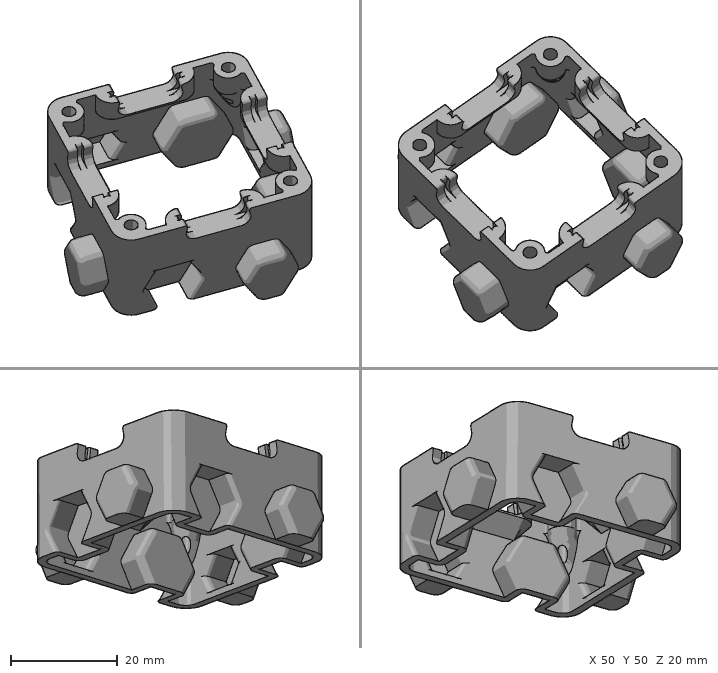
import cadquery as cq
import math

BODY = 40.0
HEIGHT = 20.0
CORNER_R = 4.0
WALL = 1.7
HALF = BODY / 2
INNER = HALF - WALL

HEX_X = 9.0
HEX_Z = 5.05
PLUG_APOTHEM = 5.0
PLUG_REACH = 5.0
EDGE_R = 1.5
HEX_WALL = 1.2
FIT_GAP = 0.3
SOCKET_APOTHEM = PLUG_APOTHEM + FIT_GAP
SOCKET_DEPTH = PLUG_REACH + FIT_GAP
SOCKET_MOUTH_R = 0.9
CAVITY_MOUTH_R = 1.3

RIB_DEPTH = 5.0
RIB_R = RIB_DEPTH - WALL
RIB_FLAT_HALF = 6.5
SHELF_Z = 15.6
NOTCH_DEPTH = 4.0
NOTCH_FLOOR_HALF = 4.5
NOTCH_ROUND_R = 2.0
NOTCH_LIP_HALF = 6.1
LIP_R = 0.5
GROOVE_WIDTH = 1.2
GROOVE_FLOOR_HALF = 6.5
GROOVE_ROUND_R = 1.0
GROOVE_LIP_HALF = 6.9
GROOVE_INSET = 1.95

POST_AT = HALF - CORNER_R
POST_R = 2.8
POST_BLEND_R = 0.5
HOLE_TOP_D = 2.6
HOLE_D = 1.8
SUPPORT_ANGLE = math.radians(58)


def on_four_sides(shape):
    """Repeat a shape made for the -Y side on all four sides."""
    ring = shape
    for turn in range(1, 4):
        ring = ring.union(shape.rotate((0, 0, 0), (0, 0, 1), 90 * turn))
    return ring


def rounded_block(half, radius):
    """Full-height square block with rounded upright edges."""
    return (
        cq.Workplane("XY")
        .rect(2 * half, 2 * half)
        .extrude(HEIGHT)
        .edges("|Z")
        .fillet(radius)
    )


def hex_prism(x, y, apothem, outward):
    """Hexagonal prism from depth y; a negative length goes into the box."""
    across_corners = 2 * apothem / math.cos(math.pi / 6)
    return (
        cq.Workplane("XZ", origin=(x, y, HEX_Z))
        .polygon(6, across_corners)
        .extrude(outward)
    )


def box_between(low, high):
    size = [b - a for a, b in zip(low, high)]
    return cq.Workplane("XY").box(*size, centered=False).translate(low)


def mouth_rounding(x, y, opening, radius, outward, z_low, z_high):
    """Cutter that rounds the edges of an opening, limited to heights z_low..z_high.

    outward is 1 for an opening that runs towards -Y and -1 for one towards +Y.
    """
    span = BODY / 2
    slab_depth = WALL * outward
    slab = cq.Workplane("XZ", origin=(x, y, HEX_Z)).rect(span, span).extrude(slab_depth)
    rim = slab.cut(opening)
    mouth_face = rim.faces(">Y" if outward > 0 else "<Y").val()
    rim = rim.newObject(mouth_face.innerWires()[0].Edges()).fillet(radius)
    band = box_between((x - span, -BODY, z_low), (x + span, 0, z_high))
    return slab.cut(rim).intersect(band)


def plug():
    """Outside plug; its flat bottom edges stay sharp."""
    body = hex_prism(HEX_X, -INNER, PLUG_APOTHEM, WALL + PLUG_REACH)
    return body.edges("not(<Z or >Y)").fillet(EDGE_R)


def plug_cavity():
    """Hollow of the plug, open to the inside of the box."""
    apothem = PLUG_APOTHEM - HEX_WALL
    cavity = hex_prism(HEX_X, -INNER, apothem, WALL + PLUG_REACH - HEX_WALL)
    rounding = mouth_rounding(HEX_X, -INNER, cavity, CAVITY_MOUTH_R, 1, HEX_Z - apothem, HEX_Z + apothem)
    return cavity.union(rounding)


def socket_shell():
    """Rounded hexagonal housing of the socket, inside the box."""
    mid_wall = -HALF + WALL / 2
    length = SOCKET_DEPTH + WALL / 2
    body = hex_prism(-HEX_X, mid_wall, SOCKET_APOTHEM + HEX_WALL, -length)
    body = body.edges("not <Y").fillet(EDGE_R)
    above_base = box_between((-BODY, -BODY, 0), (BODY, 0, HEIGHT))
    return body.intersect(above_base)


def socket_cavity():
    """Socket opening; only its two upper corners stay sharp."""
    cavity = hex_prism(-HEX_X, -HALF, SOCKET_APOTHEM, -SOCKET_DEPTH)
    top = HEX_Z + SOCKET_APOTHEM
    lower_half = cq.selectors.BoxSelector((-BODY, -BODY, -BODY), (BODY, BODY, HEX_Z + EDGE_R))
    cavity = cavity.edges("|Y").edges(lower_half).fillet(EDGE_R)
    return cavity.union(mouth_rounding(-HEX_X, -HALF, cavity, SOCKET_MOUTH_R, -1, -HEX_Z, top))


def rib():
    """Thickened wall for the notch, with a 45 degree support underneath."""
    top = (
        cq.Workplane("XY", origin=(0, -INNER, SHELF_Z))
        .slot2D(2 * (RIB_FLAT_HALF + RIB_R), 2 * RIB_R)
        .extrude(HEIGHT - SHELF_Z)
    )
    wedge = (
        cq.Workplane("YZ", origin=(-RIB_FLAT_HALF, -INNER, SHELF_Z))
        .polyline([(-RIB_R, 0), (RIB_R, 0), (0, -RIB_R)])
        .close()
        .extrude(2 * RIB_FLAT_HALF)
    )
    body = top.union(wedge)
    for x in (-RIB_FLAT_HALF, RIB_FLAT_HALF):
        cone = cq.Solid.makeCone(RIB_R, 0, RIB_R, cq.Vector(x, -INNER, SHELF_Z), cq.Vector(0, 0, -1))
        body = body.union(cq.Workplane(cone))
    return body


def notch_cut(floor_half, round_r, lip_half, y_start, length):
    """Snap notch: flat floor, round flanks, and lips leaning in at the top."""
    floor_z = HEIGHT - NOTCH_DEPTH
    wide = floor_half + round_r
    slant = math.hypot(wide - lip_half, NOTCH_DEPTH - round_r)
    lean = math.asin((wide - lip_half) / slant)
    tangent = LIP_R / math.tan((math.pi / 2 - lean) / 2)
    neck = (lip_half + tangent * math.sin(lean), HEIGHT - tangent * math.cos(lean))
    lip_x = lip_half + tangent
    middle = (math.pi / 2 + math.pi + lean) / 2
    lip_mid = (lip_x + LIP_R * math.cos(middle), HEIGHT - LIP_R + LIP_R * math.sin(middle))
    diagonal = round_r * math.sqrt(0.5)
    flank_mid = (floor_half + diagonal, floor_z + round_r - diagonal)
    return (
        cq.Workplane("XZ", origin=(0, y_start, 0))
        .moveTo(0, floor_z)
        .lineTo(floor_half, floor_z)
        .threePointArc(flank_mid, (wide, floor_z + round_r))
        .lineTo(*neck)
        .threePointArc(lip_mid, (lip_x, HEIGHT))
        .lineTo(0, HEIGHT)
        .close()
        .extrude(-length)
        .mirror("YZ", union=True)
    )


def notch():
    """Notch through the rib with a narrow groove that reaches further sideways."""
    opening = notch_cut(NOTCH_FLOOR_HALF, NOTCH_ROUND_R, NOTCH_LIP_HALF, -HALF, RIB_DEPTH)
    groove = notch_cut(GROOVE_FLOOR_HALF, GROOVE_ROUND_R, GROOVE_LIP_HALF,
                       -HALF + GROOVE_INSET, GROOVE_WIDTH)
    return opening.union(groove)


def post():
    """Corner post at (-X, -Y) blended into both walls, with a sloped support."""
    gap = INNER - POST_AT
    blend_along = math.sqrt((POST_R + POST_BLEND_R) ** 2 - (gap - POST_BLEND_R) ** 2)
    share = POST_R / (POST_R + POST_BLEND_R)
    touch = (blend_along * share, -(gap - POST_BLEND_R) * share)
    hollow_end = (blend_along, -gap)
    hollow_centre = (blend_along, -gap + POST_BLEND_R)
    bulge = (hollow_centre[0] - POST_BLEND_R * math.cos(math.pi / 6),
             hollow_centre[1] - POST_BLEND_R * math.sin(math.pi / 6))
    front = POST_R * math.sqrt(0.5)
    edge = gap + WALL / 2
    section = (
        cq.Workplane("XY", origin=(-POST_AT, -POST_AT, SHELF_Z))
        .moveTo(-edge, -edge)
        .lineTo(blend_along, -edge)
        .lineTo(*hollow_end)
        .threePointArc(bulge, touch)
        .threePointArc((front, front), (touch[1], touch[0]))
        .threePointArc((bulge[1], bulge[0]), (hollow_end[1], hollow_end[0]))
        .lineTo(-edge, blend_along)
        .close()
    )
    run = POST_R + CORNER_R
    slant = cq.Vector(-run * math.sqrt(0.5), -run * math.sqrt(0.5), -run * math.tan(SUPPORT_ANGLE))
    support = cq.Solid.extrudeLinear(section.wires().val(), [], slant)
    return section.extrude(HEIGHT - SHELF_Z).union(cq.Workplane(support))


def screw_hole():
    """Screw hole tapering through the post, then a narrow bore out of the support."""
    return (
        cq.Workplane("XZ", origin=(-POST_AT, -POST_AT, 0))
        .polyline([(0, HEIGHT), (HOLE_TOP_D / 2, HEIGHT), (HOLE_D / 2, SHELF_Z), (HOLE_D / 2, 0), (0, 0)])
        .close()
        .revolve(360, (0, 0, 0), (0, 1, 0))
    )


envelope = rounded_block(HALF, CORNER_R)
frame = envelope.cut(rounded_block(INNER, CORNER_R - WALL))
inside = on_four_sides(rib()).union(on_four_sides(post())).intersect(envelope)
result = frame.union(inside).cut(on_four_sides(screw_hole()))
result = result.union(on_four_sides(socket_shell())).union(on_four_sides(plug()))
for cutter in (plug_cavity(), socket_cavity(), notch()):
    result = result.cut(on_four_sides(cutter))